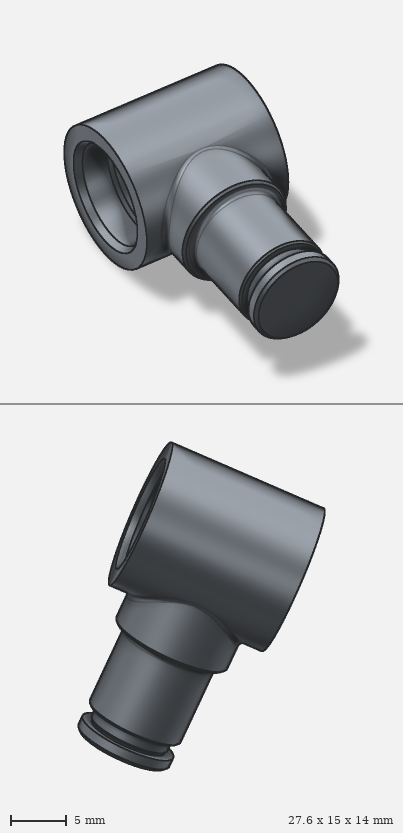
import cadquery as cq

overall_length = 27.6
barrel_radius = 6.997
barrel_length = 15.0

bore_radius = 5.0
mouth_radius = 5.4
mouth_depth = 0.7
relief_radius = mouth_radius
relief_taper = mouth_depth
relief_width = 8.4

collar_radius = 5.5
collar_end = 10.05
collar_chamfer = 0.25
collar_blend = 0.5
junction_fillet = 0.5
body_radius = 4.5
body_end = 18.0
body_chamfer = 0.2
neck_radius = 3.75
neck_end = 19.05
groove_radius = 3.6
groove_end = 19.4
edge_chamfer = 0.3
stem_end = overall_length - barrel_radius


def along_y(radius, length):
    """Cylinder on the barrel axis, centred on the origin."""
    return cq.Workplane("XZ").circle(radius).extrude(length / 2, both=True)


def make_barrel_and_collar():
    """Solid barrel joined to the collar by a fillet along their crossing."""
    barrel = along_y(barrel_radius, barrel_length)
    collar = cq.Workplane("YZ").circle(collar_radius).extrude(collar_end)
    joined = barrel.union(collar)
    crossing_zone = cq.selectors.BoxSelector(
        (0, -collar_radius, -collar_radius),
        (barrel_radius, collar_radius, collar_radius),
    )
    joined = joined.edges(crossing_zone).edges("not |X").fillet(junction_fillet)
    return joined.faces(">X").edges().chamfer(collar_chamfer)


def make_stem():
    """Turned stem: blended foot, body, neck, groove and end flange."""
    foot_radius = body_radius + collar_blend
    profile = (
        cq.Workplane("XZ")
        .moveTo(barrel_radius, 0)
        .lineTo(barrel_radius, foot_radius)
        .lineTo(collar_end, foot_radius)
        .radiusArc((collar_end + collar_blend, body_radius), -collar_blend)
        .lineTo(body_end - body_chamfer, body_radius)
        .lineTo(body_end, body_radius - body_chamfer)
        .lineTo(body_end, neck_radius)
        .lineTo(neck_end, neck_radius)
        .lineTo(neck_end + neck_radius - groove_radius, groove_radius)
        .lineTo(groove_end, groove_radius)
        .lineTo(groove_end, body_radius)
        .lineTo(stem_end - edge_chamfer, body_radius)
        .lineTo(stem_end, body_radius - edge_chamfer)
        .lineTo(stem_end, 0)
        .close()
    )
    return profile.revolve(360, (0, 0, 0), (1, 0, 0))


def make_bore():
    """Through bore with chamfered mouths and a wide relief in the middle."""
    half_length = barrel_length / 2
    half_relief = relief_width / 2
    half_floor = half_relief - relief_taper
    profile = (
        cq.Workplane("XY")
        .moveTo(0, -half_length)
        .lineTo(mouth_radius, -half_length)
        .lineTo(bore_radius, -half_length + mouth_depth)
        .lineTo(bore_radius, -half_relief)
        .lineTo(relief_radius, -half_floor)
        .lineTo(relief_radius, half_floor)
        .lineTo(bore_radius, half_relief)
        .lineTo(bore_radius, half_length - mouth_depth)
        .lineTo(mouth_radius, half_length)
        .lineTo(0, half_length)
        .close()
    )
    return profile.revolve(360, (0, 0, 0), (0, 1, 0))


result = make_barrel_and_collar().union(make_stem()).cut(make_bore())